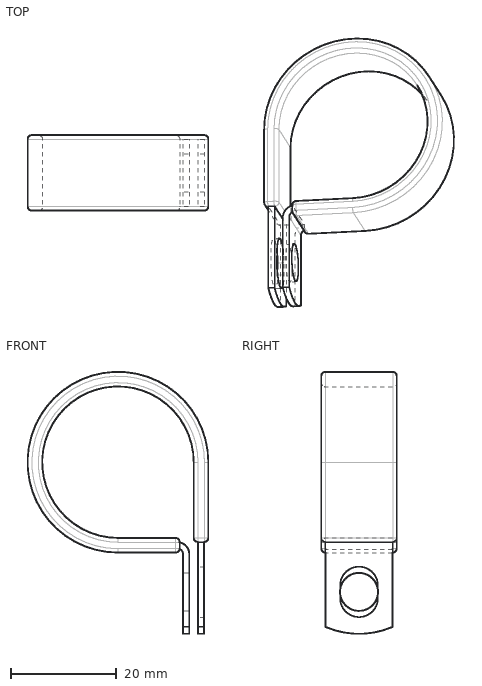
import cadquery as cq
import math


bore_radius = 14.2875
cushion_wall = 0.79375
strap_thickness = 1.22
strap_width = 12.7
bend_inner_radius = 1.1
bolt_hole_diameter = 7.14
bolt_hole_z = -24.5
bolt_slot_length = 9.525
tab_bottom_z = -32.455
tab_end_radius = 15.875
level_cushion_end_x = 11.66

diagonal_factor = math.cos(math.radians(45))

strap_inner_radius = bore_radius + cushion_wall
strap_outer_radius = strap_inner_radius + strap_thickness
cushion_outer_radius = strap_outer_radius + cushion_wall
cushion_width = strap_width + 2 * cushion_wall
upright_cushion_end_z = -strap_inner_radius
bend_outer_radius = bend_inner_radius + strap_thickness
tab_gap = 2 * cushion_wall
tab_split_x = strap_inner_radius - tab_gap / 2
bent_tab_outer_x = strap_inner_radius - tab_gap
bend_center_x = bent_tab_outer_x - bend_outer_radius
bend_center_z = -strap_inner_radius - bend_outer_radius


def looped_band(inner_radius, outer_radius, width, upright_end_z, level_end_x):
    """Three-quarter ring with a straight run down at +X and a straight run to +X at the bottom."""
    outer_mid = outer_radius * diagonal_factor
    inner_mid = inner_radius * diagonal_factor
    return (
        cq.Workplane("XZ")
        .moveTo(outer_radius, upright_end_z)
        .lineTo(outer_radius, 0)
        .threePointArc((-outer_mid, outer_mid), (0, -outer_radius))
        .lineTo(level_end_x, -outer_radius)
        .lineTo(level_end_x, -inner_radius)
        .lineTo(0, -inner_radius)
        .threePointArc((-inner_mid, inner_mid), (inner_radius, 0))
        .lineTo(inner_radius, upright_end_z)
        .close()
        .extrude(width / 2, both=True)
    )


def make_cushion():
    """Cushion with every border of its sides and ends rounded down to the strap section."""
    band = looped_band(
        bore_radius,
        cushion_outer_radius,
        cushion_width,
        upright_cushion_end_z,
        level_cushion_end_x,
    )
    upright_end = cq.selectors.NearestToPointSelector(
        (strap_inner_radius + strap_thickness / 2, 0, upright_cushion_end_z)
    )
    level_end = cq.selectors.NearestToPointSelector(
        (level_cushion_end_x, 0, -strap_inner_radius - strap_thickness / 2)
    )
    borders = band.faces("|Y").edges()
    borders = borders.add(band.faces(upright_end).edges())
    borders = borders.add(band.faces(level_end).edges())
    return borders.fillet(cushion_wall)


def make_bent_tab():
    """Quarter bend from the level run of the strap into the inner hanging tab."""
    outer_mid = (
        bend_center_x + bend_outer_radius * diagonal_factor,
        bend_center_z + bend_outer_radius * diagonal_factor,
    )
    inner_mid = (
        bend_center_x + bend_inner_radius * diagonal_factor,
        bend_center_z + bend_inner_radius * diagonal_factor,
    )
    return (
        cq.Workplane("XZ")
        .moveTo(bend_center_x, -strap_inner_radius)
        .threePointArc(outer_mid, (bent_tab_outer_x, bend_center_z))
        .lineTo(bent_tab_outer_x, tab_bottom_z)
        .lineTo(bent_tab_outer_x - strap_thickness, tab_bottom_z)
        .lineTo(bent_tab_outer_x - strap_thickness, bend_center_z)
        .threePointArc(inner_mid, (bend_center_x, -strap_outer_radius))
        .close()
        .extrude(strap_width / 2, both=True)
    )


def make_strap_outline():
    """Solid spanning the whole strap in X, with the strap's width and arched lower end."""
    half_width = strap_width / 2
    end_rise = tab_end_radius - math.sqrt(tab_end_radius**2 - half_width**2)
    end_corner_z = tab_bottom_z + end_rise
    return (
        cq.Workplane("YZ")
        .moveTo(-half_width, end_corner_z)
        .threePointArc((0, tab_bottom_z), (half_width, end_corner_z))
        .lineTo(half_width, strap_outer_radius)
        .lineTo(-half_width, strap_outer_radius)
        .close()
        .extrude(strap_outer_radius, both=True)
    )


def make_bolt_hole():
    """Cutter for the round hole in the inner tab."""
    return (
        cq.Workplane("YZ", origin=(0, 0, bolt_hole_z))
        .circle(bolt_hole_diameter / 2)
        .extrude(tab_split_x)
    )


def make_bolt_slot():
    """Cutter for the upright slot in the outer tab."""
    upright_angle = 90
    return (
        cq.Workplane("YZ", origin=(tab_split_x, 0, bolt_hole_z))
        .slot2D(bolt_slot_length, bolt_hole_diameter, upright_angle)
        .extrude(strap_outer_radius - tab_split_x)
    )


def make_strap():
    """Complete metal strap: loop, bent inner tab, rounded tab ends and bolt openings."""
    loop = looped_band(
        strap_inner_radius,
        strap_outer_radius,
        strap_width,
        tab_bottom_z,
        bend_center_x,
    )
    strap = loop.union(make_bent_tab()).intersect(make_strap_outline())
    return strap.cut(make_bolt_hole()).cut(make_bolt_slot())


result = make_cushion().union(make_strap())